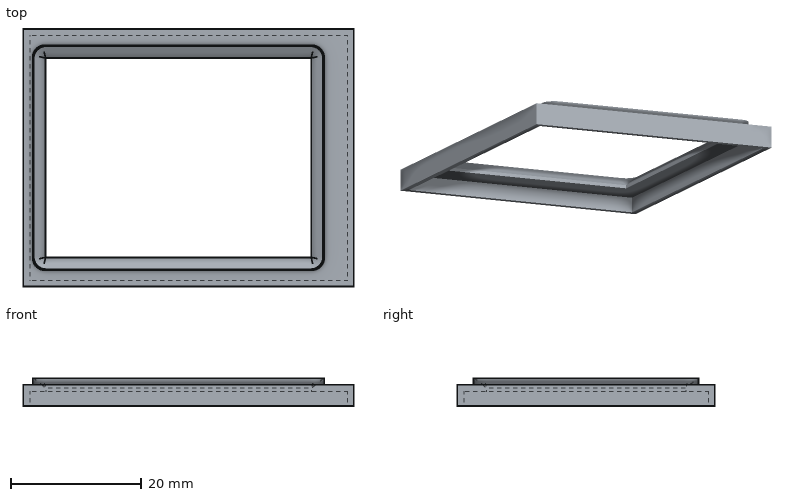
import cadquery as cq

base_length = 50.8
base_width = 39.6
base_height = 3.3

total_height = 4.3
lip_length = 44.8
lip_width = 34.6
lip_corner_radius = 2.0
lip_offset_x = 1.45
lip_offset_y = (base_width - lip_width) / 2
lip_height = total_height - base_height
lip_center = (lip_offset_x + lip_length / 2, lip_offset_y + lip_width / 2)

pocket_wall = 1.0
pocket_depth = 2.3

rim_width = 0.2
straight_wall_height = 0.5
funnel_bottom = pocket_depth + straight_wall_height
opening_length = lip_length - 2 * lip_corner_radius
opening_width = lip_width - 2 * lip_corner_radius
funnel_height = total_height - funnel_bottom
funnel_spread = lip_corner_radius - rim_width


def make_base():
    return cq.Workplane("XY").box(base_length, base_width, base_height, centered=False)


def make_lip():
    return (
        cq.Workplane("XY", origin=(*lip_center, base_height))
        .rect(lip_length, lip_width)
        .extrude(lip_height)
        .edges("|Z")
        .fillet(lip_corner_radius)
    )


def make_pocket():
    return (
        cq.Workplane("XY", origin=(pocket_wall, pocket_wall, 0))
        .box(
            base_length - 2 * pocket_wall,
            base_width - 2 * pocket_wall,
            pocket_depth,
            centered=False,
        )
    )


def make_straight_opening():
    return (
        cq.Workplane("XY", origin=(*lip_center, 0))
        .rect(opening_length, opening_width)
        .extrude(total_height)
    )


def make_flared_prism(plane, narrow_width, length):
    """Prism whose trapezoid section widens upward by the funnel spread on each side."""
    bottom_half = narrow_width / 2
    top_half = bottom_half + funnel_spread
    return (
        cq.Workplane(plane, origin=(*lip_center, funnel_bottom))
        .polyline([
            (-bottom_half, 0),
            (bottom_half, 0),
            (top_half, funnel_height),
            (-top_half, funnel_height),
        ])
        .close()
        .extrude(length / 2, both=True)
    )


def make_corner_cone(x_side, y_side):
    """Upward-opening cone with its tip on a bottom corner of the funnel."""
    tip = cq.Vector(
        lip_center[0] + x_side * opening_length / 2,
        lip_center[1] + y_side * opening_width / 2,
        funnel_bottom,
    )
    return cq.Solid.makeCone(0, funnel_spread, funnel_height, tip, cq.Vector(0, 0, 1))


result = make_base().union(make_lip())
result = result.cut(make_pocket())
result = result.cut(make_straight_opening())
result = result.cut(make_flared_prism("XZ", opening_length, opening_width))
result = result.cut(make_flared_prism("YZ", opening_width, opening_length))
for x_side in (-1, 1):
    for y_side in (-1, 1):
        result = result.cut(make_corner_cone(x_side, y_side))